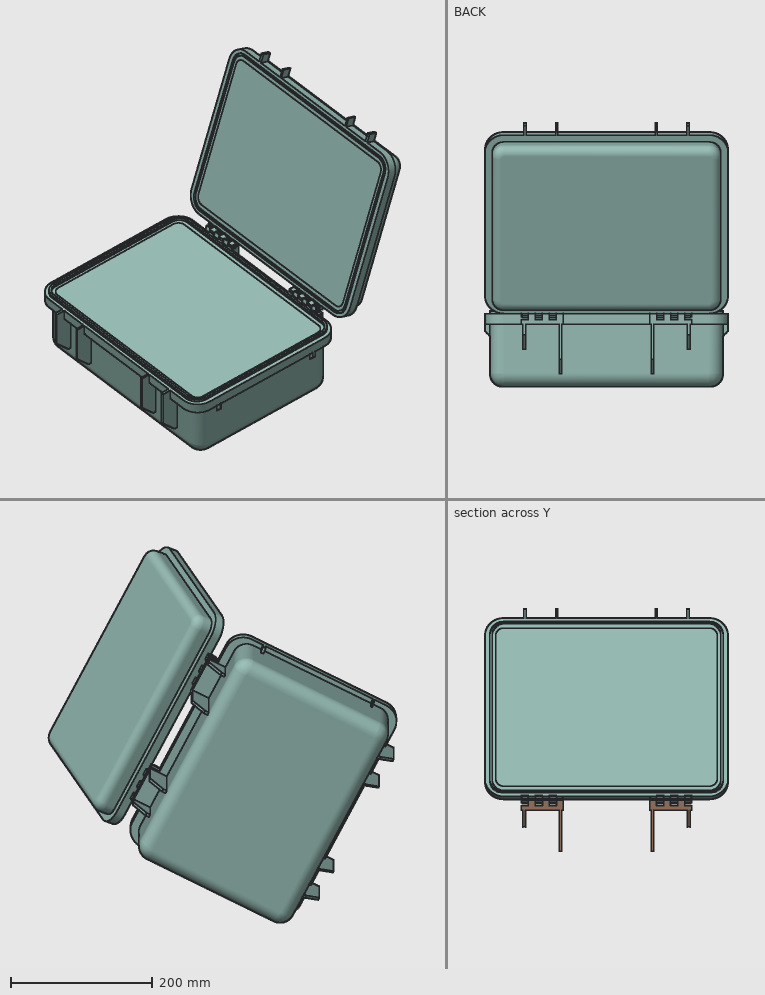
import cadquery as cq
import math

RIM_X = 345.0
RIM_Y = 267.8
RIM_RADIUS = 27.0

BASE_HEIGHT = 104.0
BASE_RIM_HEIGHT = 15.3
BASE_INSET_X = 7.0
BASE_INSET_Y = 12.5
BASE_CORNER_RADIUS = 20.2
BASE_BOTTOM_FILLET = 19.0

LID_HEIGHT = 40.5
LID_RIM_HEIGHT = 13.5
LID_INSET = 10.5
LID_TOP_FILLET = 12.8
LID_LEAN = 19.2

FOAM_INSET = 15.3

GASKET_INSET_X = 7.0
GASKET_INSET_Y = 5.5
GASKET_WIDTH = 3.5
GASKET_HEIGHT = 3.7

LATCH_REACH = 13.5
LUG_REACH = 13.5
OUTER_LATCH_X = 115.5
INNER_LATCH_X = 70.5
THICK_RIB = 4.0
THIN_RIB = 2.5
LATCH_RIB_BOTTOM = 28.5
LATCH_RIB_CHAMFER = 21.0

SIDE_RIB_Y = 87.0
SIDE_RIB_DROP = 16.5

HINGE_OUTER_X = 121.0
KNUCKLES = 6
HINGE_LENGTH = 60.0
KNUCKLE_WIDTH = 9.0
KNUCKLE_END_CHAMFER = 1.5
PIN_DIAMETER = 3.0
PIN_SETBACK = 6.0
LID_GAP = 3.7
HINGE_SHELF = 6.5
HINGE_RIB_INSET = 2.0
HINGE_RIB_CHAMFER = 20.2
SHORT_HINGE_RIB_BOTTOM = 53.5
LONG_HINGE_RIB_BOTTOM = 19.0

FRONT_RIM_Y = -RIM_Y / 2
BACK_RIM_Y = RIM_Y / 2
FRONT_WALL_Y = FRONT_RIM_Y + BASE_INSET_Y
BACK_WALL_Y = BACK_RIM_Y - BASE_INSET_Y
SIDE_WALL_X = RIM_X / 2 - BASE_INSET_X
RIM_BOTTOM = BASE_HEIGHT - BASE_RIM_HEIGHT
HINGE_BACK_Y = BACK_RIM_Y + LATCH_REACH
KNUCKLE_LENGTH = HINGE_LENGTH / KNUCKLES
HINGE_INNER_X = HINGE_OUTER_X - HINGE_LENGTH
PIN_Y = BACK_RIM_Y + PIN_SETBACK
PIN_Z = BASE_HEIGHT
LID_FACE_Z = PIN_Z + LID_GAP
SIDES = (-1, 1)


def box(x0, x1, y0, y1, z0, z1):
    """Block between two opposite corners."""
    return cq.Workplane("XY").box(x1 - x0, y1 - y0, z1 - z0, centered=False).translate((x0, y0, z0))


def rounded_block(inset_x, inset_y, radius, z0, z1):
    """Block inside the rim outline, with rounded upright corners."""
    return (
        cq.Workplane("XY", origin=(0, 0, z0))
        .rect(RIM_X - 2 * inset_x, RIM_Y - 2 * inset_y)
        .extrude(z1 - z0)
        .edges("|Z")
        .fillet(radius)
    )


def foam(z0, z1):
    """Foam block with the same corner centres as the rim."""
    return rounded_block(FOAM_INSET, FOAM_INSET, RIM_RADIUS - FOAM_INSET, z0, z1)


def gasket_ring(z0, z1):
    """Ring that follows the rim outline."""
    outer_radius = RIM_RADIUS - GASKET_INSET_X
    outer = rounded_block(GASKET_INSET_X, GASKET_INSET_Y, outer_radius, z0, z1)
    inner = rounded_block(
        GASKET_INSET_X + GASKET_WIDTH, GASKET_INSET_Y + GASKET_WIDTH, outer_radius - GASKET_WIDTH, z0, z1
    )
    return outer.cut(inner)


def yz_plate(points, x_center, thickness):
    """Upright plate with a YZ outline, centred on x_center."""
    return cq.Workplane("YZ", origin=(x_center - thickness / 2, 0, 0)).polyline(points).close().extrude(thickness)


def latch_positions():
    """X centre and thickness of each latch rib or lug."""
    for side in SIDES:
        yield side * OUTER_LATCH_X, THICK_RIB
        yield side * INNER_LATCH_X, THIN_RIB


def latch_rib(x_center, thickness):
    """Front rib with a sloped lower corner."""
    face_y = FRONT_RIM_Y - LATCH_REACH
    outline = [
        (FRONT_WALL_Y, BASE_HEIGHT),
        (face_y, BASE_HEIGHT),
        (face_y, LATCH_RIB_BOTTOM + LATCH_RIB_CHAMFER),
        (face_y + LATCH_RIB_CHAMFER, LATCH_RIB_BOTTOM),
        (FRONT_WALL_Y, LATCH_RIB_BOTTOM),
    ]
    return yz_plate(outline, x_center, thickness)


def side_rib(side, y_center, thickness):
    """Small rib under the rim, sloped at its lower corner."""
    edge_x = RIM_X / 2
    bottom = RIM_BOTTOM - SIDE_RIB_DROP
    outline = [
        (side * SIDE_WALL_X, RIM_BOTTOM),
        (side * edge_x, RIM_BOTTOM),
        (side * edge_x, bottom + BASE_INSET_X),
        (side * SIDE_WALL_X, bottom),
    ]
    return (
        cq.Workplane("XZ", origin=(0, y_center + thickness / 2, 0)).polyline(outline).close().extrude(thickness)
    )


def hinge_rib(x_center, bottom):
    """Back rib under the hinge shelf, with a sloped lower corner."""
    outline = [
        (BACK_WALL_Y, RIM_BOTTOM),
        (HINGE_BACK_Y, RIM_BOTTOM),
        (HINGE_BACK_Y, bottom + HINGE_RIB_CHAMFER),
        (HINGE_BACK_Y - HINGE_RIB_CHAMFER, bottom),
        (BACK_WALL_Y, bottom),
    ]
    return yz_plate(outline, x_center, THICK_RIB)


def knuckle_ends(side, first):
    """X range of every second knuckle, counted inward from the outer end of a hinge."""
    for index in range(first, KNUCKLES, 2):
        outer_x = side * (HINGE_OUTER_X - index * KNUCKLE_LENGTH)
        inner_x = outer_x - side * KNUCKLE_LENGTH
        yield min(outer_x, inner_x), max(outer_x, inner_x)


def hinge_range(side):
    """X range of a whole hinge."""
    return sorted((side * HINGE_OUTER_X, side * HINGE_INNER_X))


def hinge_pin(side):
    """Pin as long as its hinge."""
    x0, x1 = hinge_range(side)
    return cq.Workplane("YZ", origin=(x0, PIN_Y, PIN_Z)).circle(PIN_DIAMETER / 2).extrude(x1 - x0)


def knuckle(side, x0, x1):
    """Square bar about the pin axis, chamfered where it ends its hinge."""
    bar = (
        cq.Workplane("YZ", origin=(x0, PIN_Y, PIN_Z))
        .rect(KNUCKLE_WIDTH, KNUCKLE_WIDTH)
        .extrude(x1 - x0)
    )
    hinge_start, hinge_end = hinge_range(side)
    if math.isclose(x0, hinge_start):
        bar = bar.faces("<X").chamfer(KNUCKLE_END_CHAMFER)
    if math.isclose(x1, hinge_end):
        bar = bar.faces(">X").chamfer(KNUCKLE_END_CHAMFER)
    return bar


def base_hinge(side):
    """Shelf, two ribs and three knuckles behind the base."""
    x0, x1 = hinge_range(side)
    shelf_top = RIM_BOTTOM + HINGE_SHELF
    hinge = box(x0, x1, BACK_WALL_Y, HINGE_BACK_Y, RIM_BOTTOM, shelf_top)
    rib_offset = HINGE_RIB_INSET + THICK_RIB / 2
    hinge = hinge.union(hinge_rib(side * (HINGE_OUTER_X - rib_offset), SHORT_HINGE_RIB_BOTTOM))
    hinge = hinge.union(hinge_rib(side * (HINGE_INNER_X + rib_offset), LONG_HINGE_RIB_BOTTOM))
    for start, end in knuckle_ends(side, 1):
        hinge = hinge.union(box(start, end, BACK_RIM_Y, HINGE_BACK_Y, shelf_top, PIN_Z))
        hinge = hinge.union(knuckle(side, start, end))
    return hinge


def make_base(cavity):
    """Lower shell with its rim, ribs and hinge halves, hollowed for the foam."""
    base = rounded_block(BASE_INSET_X, BASE_INSET_Y, BASE_CORNER_RADIUS, 0, BASE_HEIGHT)
    base = base.faces("<Z").edges().fillet(BASE_BOTTOM_FILLET)
    base = base.union(rounded_block(0, 0, RIM_RADIUS, RIM_BOTTOM, BASE_HEIGHT))
    for x_center, thickness in latch_positions():
        base = base.union(latch_rib(x_center, thickness))
    for side in SIDES:
        base = base.union(side_rib(side, -SIDE_RIB_Y, THIN_RIB))
        base = base.union(side_rib(side, SIDE_RIB_Y, THICK_RIB))
        base = base.union(base_hinge(side)).cut(hinge_pin(side))
    return base.cut(cavity)


def open_lid(shape):
    """Swing a closed lid part up about the hinge pins."""
    return shape.rotate((0, PIN_Y, PIN_Z), (1, PIN_Y, PIN_Z), -(90 + LID_LEAN))


def make_lid(cavity):
    """Closed lid with its rim, lugs, knuckles and gasket groove, hollowed for the foam."""
    top = LID_FACE_Z + LID_HEIGHT
    rim_top = LID_FACE_Z + LID_RIM_HEIGHT
    lid = rounded_block(LID_INSET, LID_INSET, RIM_RADIUS - LID_INSET, LID_FACE_Z, top)
    lid = lid.faces(">Z").edges().fillet(LID_TOP_FILLET)
    lid = lid.union(rounded_block(0, 0, RIM_RADIUS, LID_FACE_Z, rim_top))
    for x_center, thickness in latch_positions():
        lid = lid.union(
            box(
                x_center - thickness / 2, x_center + thickness / 2,
                FRONT_RIM_Y - LUG_REACH, FRONT_RIM_Y + LID_INSET,
                LID_FACE_Z, rim_top,
            )
        )
    for side in SIDES:
        for start, end in knuckle_ends(side, 0):
            lid = lid.union(box(start, end, BACK_RIM_Y, PIN_Y, PIN_Z, LID_FACE_Z + KNUCKLE_WIDTH / 2))
            lid = lid.union(knuckle(side, start, end))
        lid = lid.cut(hinge_pin(side))
    lid = lid.cut(gasket_ring(LID_FACE_Z, LID_FACE_Z + GASKET_HEIGHT))
    return lid.cut(cavity)


base_foam = foam(BASE_BOTTOM_FILLET, BASE_HEIGHT)
closed_lid_foam = foam(LID_FACE_Z, LID_FACE_Z + LID_HEIGHT - LID_TOP_FILLET)
base = make_base(base_foam)
lid = open_lid(make_lid(closed_lid_foam))
lid_foam = open_lid(closed_lid_foam)
gasket = gasket_ring(BASE_HEIGHT, BASE_HEIGHT + GASKET_HEIGHT)
hinge_pins = [hinge_pin(side) for side in SIDES]

result = cq.Compound.makeCompound(
    [base.val(), lid.val(), base_foam.val(), lid_foam.val(), gasket.val(), *[pin.val() for pin in hinge_pins]]
)